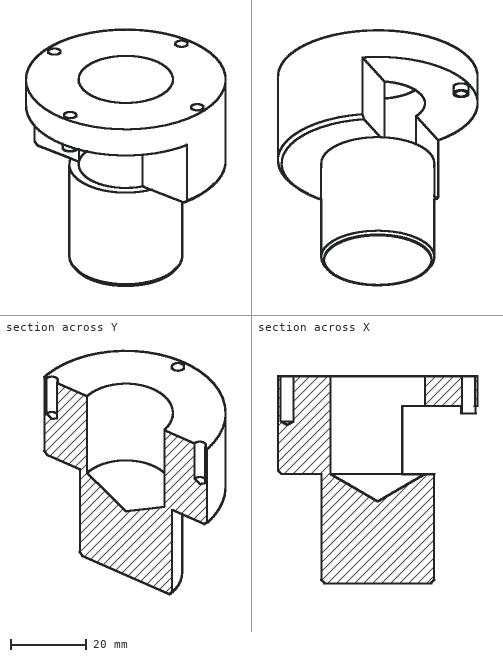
import cadquery as cq
import math

TOTAL_HEIGHT = 55.0
HEAD_DIAMETER = 53.0
STEM_DIAMETER = 30.0
STEM_HEIGHT = 29.0
FLANGE_THICKNESS = 8.0
HEAD_CHAMFER = 1.0

STEM_CORE_DIAMETER = 28.5
STEM_CHAMFER_TOP = 1.0

BORE_DIAMETER = 25.0
DRILL_POINT_ANGLE = 120.0

FLAT_Y = -6.5

HOLE_CIRCLE_RADIUS = 24.0
HOLE_COUNT = 4
HOLE_DIAMETER = 3.3
HOLE_DEPTH = 12.0
SLEEVE_DIAMETER = 4.0
SLEEVE_LENGTH = 10.0

HEAD_RADIUS = HEAD_DIAMETER / 2
STEM_RADIUS = STEM_DIAMETER / 2
STEM_CORE_RADIUS = STEM_CORE_DIAMETER / 2
FLANGE_BOTTOM = TOTAL_HEIGHT - FLANGE_THICKNESS


def turned_body():
    """Stem and head as one revolved profile with chamfered lower rims."""
    stem_chamfer = STEM_RADIUS - STEM_CORE_RADIUS
    profile = (
        cq.Workplane("XZ")
        .moveTo(0, 0)
        .lineTo(STEM_CORE_RADIUS, 0)
        .lineTo(STEM_CORE_RADIUS, STEM_CHAMFER_TOP - stem_chamfer)
        .lineTo(STEM_RADIUS, STEM_CHAMFER_TOP)
        .lineTo(STEM_RADIUS, STEM_HEIGHT)
        .lineTo(HEAD_RADIUS - HEAD_CHAMFER, STEM_HEIGHT)
        .lineTo(HEAD_RADIUS, STEM_HEIGHT + HEAD_CHAMFER)
        .lineTo(HEAD_RADIUS, TOTAL_HEIGHT)
        .lineTo(0, TOTAL_HEIGHT)
        .close()
    )
    return profile.revolve(360, (0, 0, 0), (0, 1, 0))


def front_clearance():
    """Block removed between the stem top and the flange, in front of the flat."""
    depth = HEAD_RADIUS + FLAT_Y
    return (
        cq.Workplane("XY", origin=(0, FLAT_Y - depth / 2, STEM_HEIGHT))
        .rect(HEAD_DIAMETER, depth)
        .extrude(FLANGE_BOTTOM - STEM_HEIGHT)
    )


def drilled_hole(diameter, depth):
    """Drill cutter on the Z axis: a cylinder down from the top face, then a conical point."""
    radius = diameter / 2
    shoulder = TOTAL_HEIGHT - depth
    point = shoulder - radius / math.tan(math.radians(DRILL_POINT_ANGLE / 2))
    profile = (
        cq.Workplane("XZ")
        .moveTo(0, point)
        .lineTo(radius, shoulder)
        .lineTo(radius, TOTAL_HEIGHT)
        .lineTo(0, TOTAL_HEIGHT)
        .close()
    )
    return profile.revolve(360, (0, 0, 0), (0, 1, 0))


def hole_positions():
    """Centres of the screw holes, evenly spaced around the head."""
    step = 2 * math.pi / HOLE_COUNT
    return [
        (HOLE_CIRCLE_RADIUS * math.cos(i * step), HOLE_CIRCLE_RADIUS * math.sin(i * step), 0)
        for i in range(HOLE_COUNT)
    ]


sleeve = (
    cq.Workplane("XY", origin=(0, 0, TOTAL_HEIGHT - SLEEVE_LENGTH))
    .circle(SLEEVE_DIAMETER / 2)
    .extrude(SLEEVE_LENGTH)
)
screw_hole = drilled_hole(HOLE_DIAMETER, HOLE_DEPTH)
bore = drilled_hole(BORE_DIAMETER, TOTAL_HEIGHT - STEM_HEIGHT)

result = turned_body().cut(front_clearance()).cut(bore)
for position in hole_positions():
    result = result.union(sleeve.translate(position))
    result = result.cut(screw_hole.translate(position))